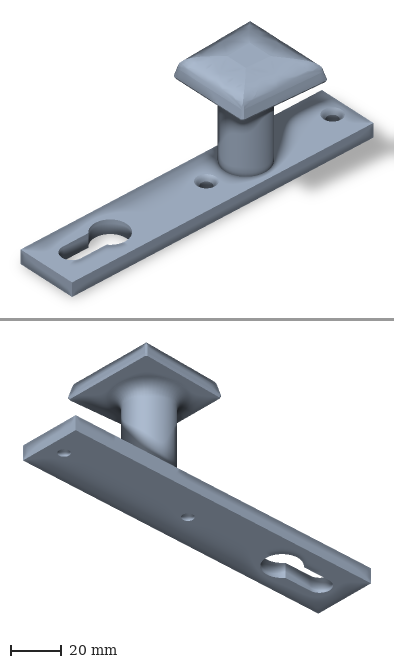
import cadquery as cq
import math

PLATE_WIDTH = 30.0
PLATE_LENGTH = 160
PLATE_THICKNESS = 7.0

SCREW_HOLE_DIAMETER = 5.5
COUNTERSINK_DIAMETER = 9.6
COUNTERSINK_ANGLE = 90
SCREW_HOLE_YS = (72, 5.0)

STEM_Y = 26.0
STEM_DIAMETER = 22.0
FLARE_RADIUS = 5.3

LOCK_DISTANCE = 72
LOCK_Y = STEM_Y - LOCK_DISTANCE
LOCK_ROUND_DIAMETER = 17.1
LOCK_SLOT_WIDTH = 10.5
LOCK_SLOT_REACH = 20.3

HEAD_BACK_WIDTH = 45.3
HEAD_FRONT_WIDTH = 40.6
HEAD_LENGTH = 43.4
HEAD_BACK_Y = 49.0
HEAD_FRONT_Y = HEAD_BACK_Y - HEAD_LENGTH
HEAD_TOP_Z = 57.0

RIM_HEIGHT = 1.0
RIM_INSET = 0.5
WALL_HEIGHT = 4.0
WALL_INSET = 1.0
DOME_HEIGHT = 6.0
DOME_END_INSET = 14.4
DOME_SIDE_INSET = 14.7
DOME_START_SLOPE = 5
DOME_END_SLOPE = 0.1
CORNER_CUT = 0.5

DOME_TOP = WALL_HEIGHT + DOME_HEIGHT
RIM_Z = HEAD_TOP_Z - DOME_TOP
HEAD_BOTTOM_Z = RIM_Z - RIM_HEIGHT

OVERRUN = HEAD_LENGTH
EDGE_DEPTH = 2 * HEAD_LENGTH


def make_plate():
    plate = (
        cq.Workplane("XY")
        .box(PLATE_WIDTH, PLATE_LENGTH, PLATE_THICKNESS, centered=(True, True, False))
        .faces(">Z")
        .workplane(origin=(0, 0, 0))
        .pushPoints([(0, y) for y in SCREW_HOLE_YS])
        .cskHole(SCREW_HOLE_DIAMETER, COUNTERSINK_DIAMETER, COUNTERSINK_ANGLE)
    )
    return plate.cut(make_lock_opening())


def make_lock_opening():
    lock_round = (
        cq.Workplane("XY", origin=(0, LOCK_Y, 0))
        .circle(LOCK_ROUND_DIAMETER / 2)
        .extrude(PLATE_THICKNESS)
    )
    slot = (
        cq.Workplane("XY", origin=(0, LOCK_Y - LOCK_SLOT_REACH / 2, 0))
        .slot2D(LOCK_SLOT_REACH + LOCK_SLOT_WIDTH, LOCK_SLOT_WIDTH, 90)
        .extrude(PLATE_THICKNESS)
    )
    return lock_round.union(slot)


def edge_workplane(point, along):
    """Upright workplane across an edge of the head: x runs into the head, y up from the rim."""
    inward = cq.Vector(-along.y, along.x, 0)
    origin = cq.Vector(point.x, point.y, RIM_Z) - along * OVERRUN
    return cq.Workplane(cq.Plane(origin=origin, xDir=inward, normal=along))


def make_head_side(start, end, dome_inset):
    """Solid bounded by the rim, wall and dome of one side; the head lies left of start-end."""
    profile = (
        edge_workplane(start, (end - start).normalized())
        .moveTo(RIM_INSET, -RIM_HEIGHT)
        .lineTo(0, 0)
        .lineTo(WALL_INSET, WALL_HEIGHT)
        .spline(
            [(WALL_INSET + dome_inset, DOME_TOP)],
            tangents=[(1, DOME_START_SLOPE), (1, DOME_END_SLOPE)],
            includeCurrent=True,
        )
        .lineTo(EDGE_DEPTH, DOME_TOP)
        .lineTo(EDGE_DEPTH, -RIM_HEIGHT)
        .close()
    )
    return profile.extrude((end - start).Length + 2 * OVERRUN)


def make_head_corner(before, corner, after):
    """Solid bounded by a flat that cuts off one corner, parallel to the corner's sloping edge."""
    to_before = (before - corner).normalized()
    to_after = (after - corner).normalized()
    along = (to_after - to_before).normalized()
    diagonal = 1 / math.sin(to_before.getAngle(to_after) / 2)
    wall_slope = diagonal * WALL_INSET / WALL_HEIGHT
    profile = (
        edge_workplane(corner, along)
        .moveTo(CORNER_CUT + diagonal * RIM_INSET, -RIM_HEIGHT)
        .lineTo(CORNER_CUT, 0)
        .lineTo(CORNER_CUT + wall_slope * DOME_TOP, DOME_TOP)
        .lineTo(EDGE_DEPTH, DOME_TOP)
        .lineTo(EDGE_DEPTH, -RIM_HEIGHT)
        .close()
    )
    return profile.extrude(2 * OVERRUN)


def make_head():
    front_left = cq.Vector(-HEAD_FRONT_WIDTH / 2, HEAD_FRONT_Y)
    front_right = cq.Vector(HEAD_FRONT_WIDTH / 2, HEAD_FRONT_Y)
    back_right = cq.Vector(HEAD_BACK_WIDTH / 2, HEAD_BACK_Y)
    back_left = cq.Vector(-HEAD_BACK_WIDTH / 2, HEAD_BACK_Y)

    head = make_head_side(front_left, front_right, DOME_END_INSET)
    head = head.intersect(make_head_side(front_right, back_right, DOME_SIDE_INSET))
    head = head.intersect(make_head_side(back_right, back_left, DOME_END_INSET))
    head = head.intersect(make_head_side(back_left, front_left, DOME_SIDE_INSET))

    corners = [front_left, front_right, back_right, back_left]
    for i, corner in enumerate(corners):
        after = corners[(i + 1) % len(corners)]
        head = head.intersect(make_head_corner(corners[i - 1], corner, after))
    return head


def make_stem():
    radius = STEM_DIAMETER / 2
    return (
        cq.Workplane("XZ", origin=(0, STEM_Y, 0))
        .moveTo(0, PLATE_THICKNESS)
        .lineTo(radius, PLATE_THICKNESS)
        .lineTo(radius, HEAD_BOTTOM_Z - FLARE_RADIUS)
        .radiusArc((radius + FLARE_RADIUS, HEAD_BOTTOM_Z), FLARE_RADIUS)
        .lineTo(0, HEAD_BOTTOM_Z)
        .close()
        .revolve(360, (0, 0), (0, 1))
    )


def make_knob():
    return make_stem().union(make_head())


plate = make_plate()
knob = make_knob()

result = cq.Compound.makeCompound([plate.val(), *knob.solids().vals()])